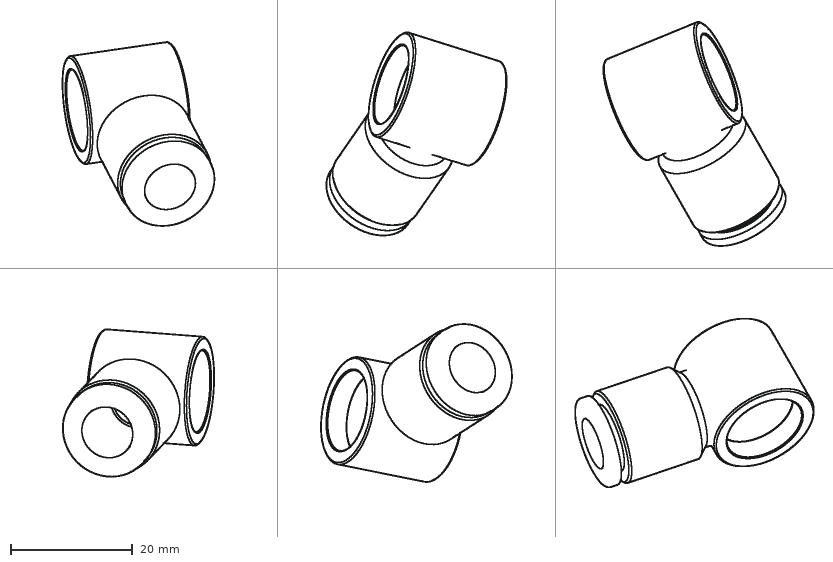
import cadquery as cq

overall_length = 36.15
ring_diameter = 18.0
ring_width = 17.0
ring_chamfer = 0.3
ring_radius = ring_diameter / 2
bore_radius = 6.6
bore_mouth_radius = 6.72
bore_mouth_depth = 3.7
mouth_chamfer = 0.18

neck_radius = 6.55
neck_end = 9.47
neck_fillet = 0.3
body_radius = 8.0
body_shoulder = 11.03
body_end = 24.05
body_chamfer = 0.35
collar_neck_radius = 5.8
collar_step_radius = 6.0
collar_step_start = 25.12
flange_radius = 7.75
flange_start = 25.4
flange_end = overall_length - ring_radius
flange_fillet = 0.58

passage_radius = 3.9
tube_radius = 4.35
tube_stop = 9.05


def y_cylinder(radius, start, length):
    """Cylinder along +Y from y = start."""
    return cq.Workplane("XZ", origin=(0, start, 0)).circle(radius).extrude(-length)


def x_cylinder(radius, start, end):
    """Cylinder along X between two distances from the ring axis."""
    return cq.Workplane("YZ", origin=(start, 0, 0)).circle(radius).extrude(end - start)


ring = y_cylinder(ring_radius, -ring_width / 2, ring_width).edges().chamfer(ring_chamfer)

shoulder = (
    cq.Workplane("XY")
    .moveTo(neck_end, 0)
    .lineTo(neck_end, neck_radius)
    .lineTo(body_shoulder, body_radius)
    .lineTo(body_shoulder, 0)
    .close()
    .revolve(360, (0, 0, 0), (1, 0, 0))
)
body = x_cylinder(body_radius, body_shoulder, body_end).faces(">X").edges().chamfer(body_chamfer)
neck = x_cylinder(neck_radius, 0, neck_end)

flange = x_cylinder(flange_radius, flange_start, flange_end).faces(">X").edges().fillet(flange_fillet)
collar_neck = x_cylinder(collar_neck_radius, body_end, collar_step_start)
collar_step = x_cylinder(collar_step_radius, collar_step_start, flange_start)

result = ring.union(neck)
result = result.edges("not (%CIRCLE or %LINE)").fillet(neck_fillet)

for section in (shoulder, body, collar_neck, collar_step, flange):
    result = result.union(section)

result = result.cut(y_cylinder(bore_radius, -ring_width / 2, ring_width))
for mouth_start in (-ring_width / 2, ring_width / 2 - bore_mouth_depth):
    result = result.cut(y_cylinder(bore_mouth_radius, mouth_start, bore_mouth_depth))

bore_rim = cq.selectors.RadiusNthSelector(0)
result = result.faces("<Y or >Y").edges(bore_rim).chamfer(mouth_chamfer)

result = result.cut(x_cylinder(passage_radius, 0, tube_stop))
result = result.cut(x_cylinder(tube_radius, tube_stop, flange_end))